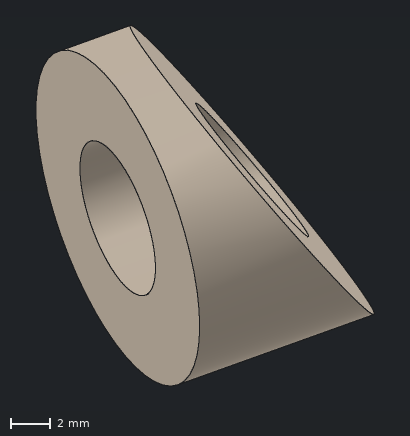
import cadquery as cq
import math

outer_diameter = 18.0
bore_diameter = 8.3
thin_side_length = 2.5
slope_angle = 30.0

outer_radius = outer_diameter / 2
thick_side_length = thin_side_length + outer_diameter * math.tan(math.radians(slope_angle))


def make_ring():
    """Straight ring along +Y, with its flat face on the XZ plane."""
    return (
        cq.Workplane("XZ")
        .circle(outer_radius)
        .circle(bore_diameter / 2)
        .extrude(-thick_side_length)
    )


def make_wedge():
    """Wedge that is thickest at the bottom and covers the full ring width."""
    return (
        cq.Workplane("YZ")
        .moveTo(0, -outer_radius)
        .lineTo(thick_side_length, -outer_radius)
        .lineTo(thin_side_length, outer_radius)
        .lineTo(0, outer_radius)
        .close()
        .extrude(outer_radius, both=True)
    )


result = make_ring().intersect(make_wedge())